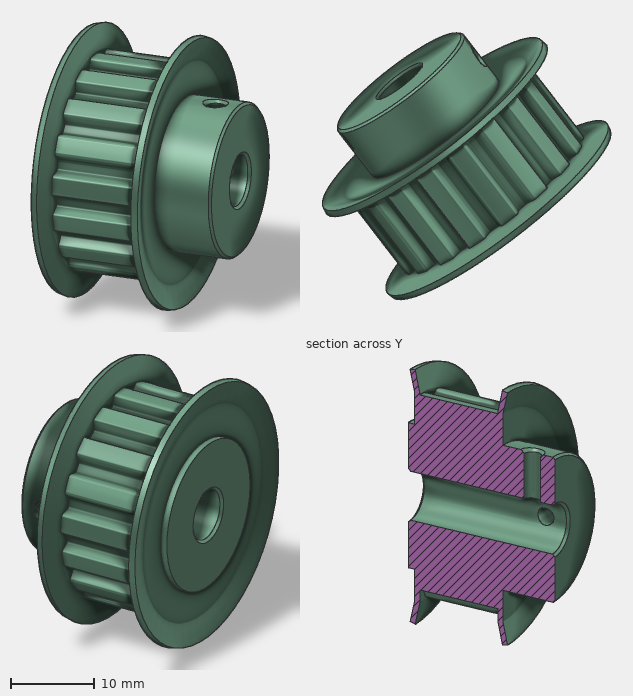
import cadquery as cq
import math

total_length = 20.65
hub_diameter = 19.05
hub_chamfer = 0.3
bore_diameter = 6.35
bore_chamfer = 0.35

tooth_count = 17
tip_diameter = 26.98
belt_start = 1.67
belt_width = 10.87
groove_depth = 1.45
groove_floor_width = 1.3
groove_flank_angle = 25.0
groove_root_fillet = 0.4
tooth_tip_fillet = 0.4
groove_overshoot = 0.67

flange_diameter = 33.35
flange_base_diameter = 27.25
flange_thickness = 0.8
flange_flare = 0.67

screw_position = 17.45
screw_diameter = 2.25
screw_mouth_diameter = 3.15

belt_end = belt_start + belt_width
hub_radius = hub_diameter / 2
tip_radius = tip_diameter / 2


def make_hub():
    """Full-length core with a chamfered edge on its +X end."""
    hub = cq.Workplane("YZ").circle(hub_radius).extrude(total_length)
    return hub.faces(">X").edges().chamfer(hub_chamfer)


def make_groove():
    """Trapezoidal belt groove at +Z with rounded floor corners, running past the tip circle."""
    floor_radius = tip_radius - groove_depth
    top_radius = tip_radius + groove_overshoot
    flank_spread = (top_radius - floor_radius) * math.tan(math.radians(groove_flank_angle))
    floor_half = groove_floor_width / 2
    top_half = floor_half + flank_spread
    return (
        cq.Workplane("YZ", origin=(belt_start, 0, 0))
        .moveTo(-floor_half, floor_radius)
        .lineTo(floor_half, floor_radius)
        .lineTo(top_half, top_radius)
        .lineTo(-top_half, top_radius)
        .close()
        .extrude(belt_width)
        .faces("<Z")
        .edges("|X")
        .fillet(groove_root_fillet)
    )


def make_toothed_rim():
    """Belt rim with evenly spaced grooves that leave one tooth centred on +Z."""
    rim = cq.Workplane("YZ", origin=(belt_start, 0, 0)).circle(tip_radius).extrude(belt_width)
    groove = make_groove()
    pitch_angle = 360 / tooth_count
    for index in range(tooth_count):
        rim = rim.cut(groove.rotate((0, 0, 0), (1, 0, 0), (index + 0.5) * pitch_angle))

    tooth_corners = rim.edges("|X").filter(
        lambda edge: math.isclose(math.hypot(edge.Center().y, edge.Center().z), tip_radius)
    )
    return tooth_corners.fillet(tooth_tip_fillet)


def make_flange(inner_x, outward):
    """Dished disc seated at inner_x, its rim flared away from the belt toward outward (+1 or -1)."""
    base_radius = flange_base_diameter / 2
    rim_radius = flange_diameter / 2
    slope = math.atan2(flange_flare, rim_radius - base_radius)
    rim_x = inner_x + outward * flange_flare
    outer_x = inner_x + outward * flange_thickness
    edge_x = rim_x + outward * flange_thickness * math.cos(slope)
    edge_radius = rim_radius - flange_thickness * math.sin(slope)
    return (
        cq.Workplane("XY")
        .moveTo(inner_x, 0)
        .lineTo(inner_x, base_radius)
        .lineTo(rim_x, rim_radius)
        .lineTo(edge_x, edge_radius)
        .lineTo(outer_x, base_radius)
        .lineTo(outer_x, 0)
        .close()
        .revolve(360, (0, 0, 0), (1, 0, 0))
    )


def make_bore():
    """Through bore with a chamfer at each end."""
    bore_radius = bore_diameter / 2
    mouth_radius = bore_radius + bore_chamfer
    return (
        cq.Workplane("XY")
        .lineTo(0, mouth_radius)
        .lineTo(bore_chamfer, bore_radius)
        .lineTo(total_length - bore_chamfer, bore_radius)
        .lineTo(total_length, mouth_radius)
        .lineTo(total_length, 0)
        .close()
        .revolve(360, (0, 0, 0), (1, 0, 0))
    )


def make_screw_hole():
    """Countersunk radial hole from the bore out through the +Z side of the hub."""
    screw_radius = screw_diameter / 2
    mouth_radius = screw_mouth_diameter / 2
    sink_depth = mouth_radius - screw_radius
    return (
        cq.Workplane("XZ")
        .lineTo(screw_radius, 0)
        .lineTo(screw_radius, hub_radius - sink_depth)
        .lineTo(mouth_radius, hub_radius)
        .lineTo(0, hub_radius)
        .close()
        .revolve(360, (0, 0, 0), (0, 1, 0))
        .translate((screw_position, 0, 0))
    )


screw_hole = make_screw_hole()

result = (
    make_hub()
    .union(make_toothed_rim())
    .union(make_flange(belt_start, -1))
    .union(make_flange(belt_end, 1))
    .cut(make_bore())
    .cut(screw_hole)
    .cut(screw_hole.rotate((0, 0, 0), (1, 0, 0), -90))
)